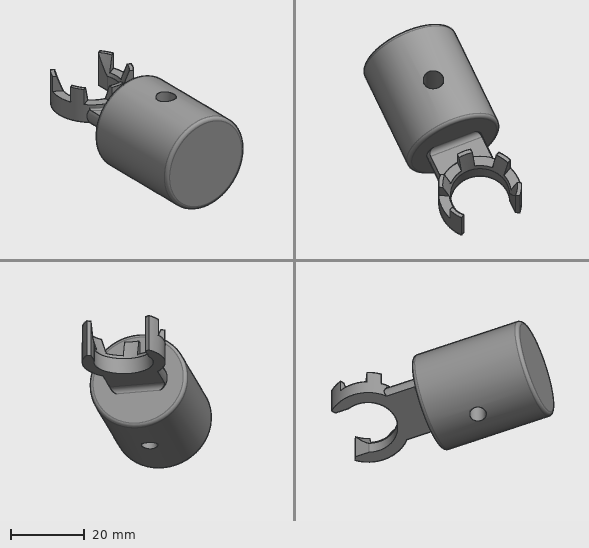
import cadquery as cq
import math

overall_length = 56.2
body_diameter = 27.0
body_start = 25.05
body_edge_radius = 1.0

hole_x = 39.15
hole_top_diameter = 5.5
hole_bottom_diameter = 4.5

ring_outer_radius = 11.25
ring_inner_radius = 16.0 / 2
mouth_width = 15.05
tooth_width = 3.95
tooth_angles = (-120, -60, 0, 60, 120)
tooth_base_z = 3.5
tooth_top_z = 8.1
flare_start_z = 2.4
flare_top_radius = 10.1

arm_thickness = 3.95
arm_flat_width = 15.1
arm_side_bulge = 0.5
arm_root_radius = 1.5
ring_root_radius = 0.5

tip_angle = math.radians(tooth_angles[-1]) + math.asin(tooth_width / 2 / ring_outer_radius)
ring_x = -ring_outer_radius * math.cos(tip_angle)
ring_bottom_z = -arm_thickness / 2
ring_height = tooth_top_z - ring_bottom_z


def cylinder_z(radius, bottom_z, height):
    """Upright cylinder on the ring axis."""
    return cq.Workplane("XY", origin=(ring_x, 0, bottom_z)).circle(radius).extrude(height)


def make_body():
    return (
        cq.Workplane("YZ", origin=(body_start, 0, 0))
        .circle(body_diameter / 2)
        .extrude(overall_length - body_start)
        .edges()
        .fillet(body_edge_radius)
    )


def make_arm():
    """Flat bar with bulging sides, running from the ring axis into the body."""
    half_width = arm_flat_width / 2
    half_thickness = arm_thickness / 2
    side_y = half_width + arm_side_bulge
    overlap = arm_root_radius
    return (
        cq.Workplane("YZ", origin=(ring_x, 0, 0))
        .moveTo(-half_width, -half_thickness)
        .lineTo(half_width, -half_thickness)
        .threePointArc((side_y, 0), (half_width, half_thickness))
        .lineTo(-half_width, half_thickness)
        .threePointArc((-side_y, 0), (-half_width, -half_thickness))
        .close()
        .extrude(body_start + overlap - ring_x)
    )


def make_body_with_arm():
    """Join body and arm, rounding the top and bottom corners of the arm root."""
    joined = make_body().union(make_arm())
    roots = [
        joined.edges(cq.selectors.NearestToPointSelector((body_start, 0, side * arm_thickness / 2))).val()
        for side in (-1, 1)
    ]
    return joined.newObject(roots).fillet(arm_root_radius)


def make_root_collar():
    """Concave ring around the clip that blends its outer wall into the arm's top face."""
    arm_top_z = arm_thickness / 2
    collar_radius = ring_outer_radius + ring_root_radius
    diagonal = ring_root_radius * (1 - math.sqrt(0.5))
    collar = (
        cq.Workplane("XZ", origin=(ring_x, 0, 0))
        .moveTo(ring_inner_radius, 0)
        .lineTo(collar_radius, 0)
        .lineTo(collar_radius, arm_top_z)
        .threePointArc(
            (ring_outer_radius + diagonal, arm_top_z + diagonal),
            (ring_outer_radius, arm_top_z + ring_root_radius),
        )
        .lineTo(ring_inner_radius, arm_top_z + ring_root_radius)
        .close()
        .revolve(360, (0, 0, 0), (0, 1, 0))
    )
    arm_span = cq.Workplane("XY").box(
        ring_outer_radius + ring_root_radius,
        arm_flat_width,
        arm_thickness + 2 * ring_root_radius,
        centered=(False, True, True),
    ).translate((ring_x, 0, 0))
    return collar.intersect(arm_span)


def radial_bar(angle, bottom_z, height):
    """Bar of tooth width reaching outwards from the ring axis."""
    return (
        cq.Workplane("XY")
        .box(2 * ring_outer_radius, tooth_width, height, centered=(False, True, False))
        .rotate((0, 0, 0), (0, 0, 1), angle)
        .translate((ring_x, 0, bottom_z))
    )


def make_ring():
    """Ring wall with upright teeth, cut off flush with the outer sides of the last teeth."""
    half_tooth = tooth_width / 2
    tip = math.radians(tooth_angles[-1])
    apex_x = ring_x - half_tooth / math.sin(tip)
    reach = 2 * ring_outer_radius
    far_x = apex_x + reach * math.cos(tip)
    far_y = reach * math.sin(tip)
    gap = (
        cq.Workplane("XY", origin=(0, 0, ring_bottom_z))
        .polyline([(apex_x, 0), (far_x, far_y), (far_x, -far_y)])
        .close()
        .extrude(ring_height)
    )
    tooth_height = tooth_top_z - tooth_base_z
    tooth_blank = cylinder_z(ring_outer_radius, tooth_base_z, tooth_height)
    ring = cylinder_z(ring_outer_radius, ring_bottom_z, tooth_base_z - ring_bottom_z)
    for angle in tooth_angles:
        ring = ring.union(tooth_blank.intersect(radial_bar(angle, tooth_base_z, tooth_height)))
    return ring.cut(gap)


def make_ring_opening():
    """Bore that flares towards the tooth tips, plus the straight-sided mouth."""
    bore = cylinder_z(ring_inner_radius, ring_bottom_z, ring_height)
    flare = (
        cq.Workplane("XY", origin=(ring_x, 0, flare_start_z))
        .circle(ring_inner_radius)
        .workplane(offset=tooth_top_z - flare_start_z)
        .circle(flare_top_radius)
        .loft(ruled=True)
    )
    mouth = (
        cq.Workplane("XY")
        .box(ring_outer_radius, mouth_width, ring_height, centered=(False, True, False))
        .translate((ring_x - ring_outer_radius, 0, ring_bottom_z))
    )
    return bore.union(flare).union(mouth)


def make_cross_hole():
    top_radius = hole_top_diameter / 2
    bottom_radius = hole_bottom_diameter / 2
    half_length = body_diameter / 2
    step_height = top_radius - bottom_radius
    return (
        cq.Workplane("XZ", origin=(hole_x, 0, 0))
        .polyline([
            (0, -half_length),
            (bottom_radius, -half_length),
            (bottom_radius, -step_height),
            (top_radius, 0),
            (top_radius, half_length),
            (0, half_length),
        ])
        .close()
        .revolve(360, (0, 0, 0), (0, 1, 0))
    )


result = (
    make_body_with_arm()
    .union(make_root_collar())
    .union(make_ring())
    .cut(make_ring_opening())
    .cut(make_cross_hole())
)